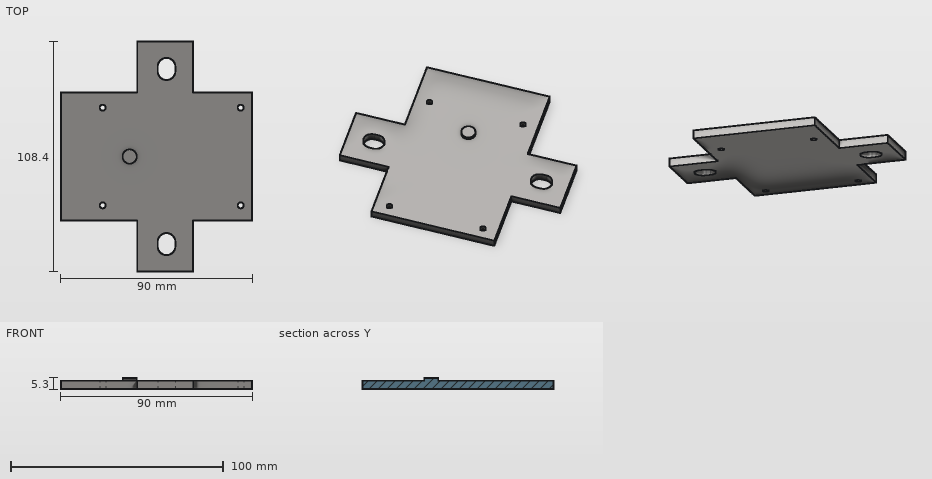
import cadquery as cq

plate_length = 90.0
plate_width = 60.4
overall_width = 108.4
plate_thickness = 4.0
tab_length = 26.4
tab_center_x = 4.0

slot_center_x = 4.7
slot_center_y = 41.2
slot_width = 8.2
slot_length = 10.3

hole_diameter = 2.7
hole_left_x = -25.4
hole_right_x = 39.6
hole_center_y = 23.0

boss_diameter = 6.7
boss_height = 1.3
boss_center_x = -12.7


def make_plate():
    """Rectangular body crossed by a narrower strip that forms both tabs."""
    body = cq.Workplane("XY").rect(plate_length, plate_width).extrude(plate_thickness)
    tabs = (
        cq.Workplane("XY")
        .center(tab_center_x, 0)
        .rect(tab_length, overall_width)
        .extrude(plate_thickness)
    )
    return body.union(tabs)


def make_slots():
    """Cutters for the slots, elongated along Y."""
    return (
        cq.Workplane("XY")
        .pushPoints([(slot_center_x, side * slot_center_y) for side in (-1, 1)])
        .slot2D(slot_length, slot_width, 90)
        .extrude(plate_thickness)
    )


def make_holes():
    """Cutters for the four small holes."""
    centers = [(x, side * hole_center_y) for x in (hole_left_x, hole_right_x) for side in (-1, 1)]
    return cq.Workplane("XY").pushPoints(centers).circle(hole_diameter / 2).extrude(plate_thickness)


def make_boss():
    """Low cylinder standing on the plate."""
    return (
        cq.Workplane("XY", origin=(boss_center_x, 0, plate_thickness))
        .circle(boss_diameter / 2)
        .extrude(boss_height)
    )


result = make_plate().cut(make_slots()).cut(make_holes()).union(make_boss())